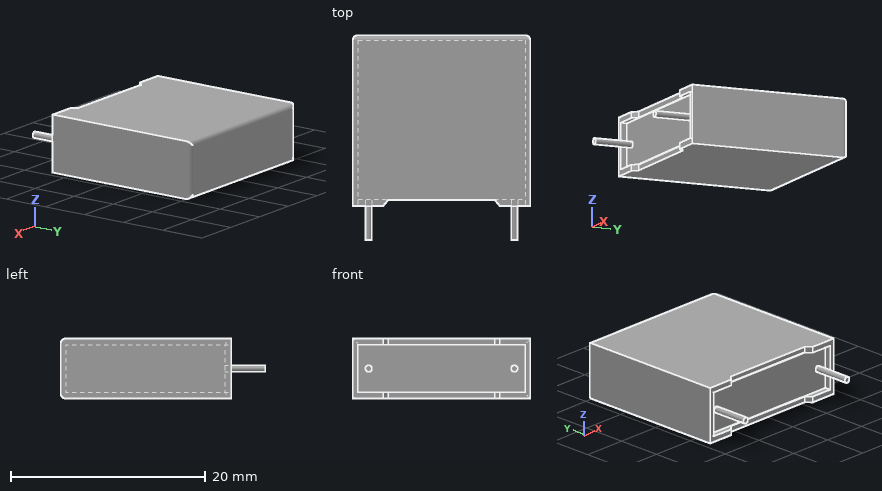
import cadquery as cq


case_width = 18.3
case_depth = 17.6
case_height = 6.21
side_wall = 0.55
flat_wall = 0.65
back_wall = side_wall
back_edge_radius = 0.55

notch_rim_width = 12.0
notch_floor_width = 11.0
notch_depth = 0.6

resin_recess = 0.7
cavity_width = case_width - 2 * side_wall
cavity_height = case_height - 2 * flat_wall
cavity_depth = case_depth - back_wall

lead_pitch = 15.0
lead_diameter = 0.68
lead_protrusion = 3.5


def block(width, depth, height, front_y):
    """Box centred on X and Z that reaches from front_y toward +Y."""
    return cq.Workplane("XY", origin=(0, front_y, 0)).box(
        width, depth, height, centered=(True, False, True)
    )


def make_case():
    """Shell with rounded back edges, an open front and a notched rim."""
    shell = block(case_width, case_depth, case_height, 0)
    shell = shell.faces(">Y").edges().fillet(back_edge_radius)
    cavity = block(cavity_width, cavity_depth, cavity_height, 0)
    notch = (
        cq.Workplane("XY")
        .polyline([
            (-notch_rim_width / 2, 0),
            (-notch_floor_width / 2, notch_depth),
            (notch_floor_width / 2, notch_depth),
            (notch_rim_width / 2, 0),
        ])
        .close()
        .extrude(case_height / 2, both=True)
    )
    return shell.cut(cavity).cut(notch)


def make_resin():
    """Fill of the whole cavity behind the recessed resin face."""
    return block(cavity_width, cavity_depth - resin_recess, cavity_height, resin_recess)


def make_lead(x):
    """Straight round wire from the resin face toward -Y."""
    return (
        cq.Workplane("XZ", origin=(x, resin_recess, 0))
        .circle(lead_diameter / 2)
        .extrude(resin_recess + lead_protrusion)
    )


case = make_case()
resin = make_resin()
leads = [make_lead(side * lead_pitch / 2) for side in (-1, 1)]

result = cq.Compound.makeCompound([case.val(), resin.val(), *[lead.val() for lead in leads]])